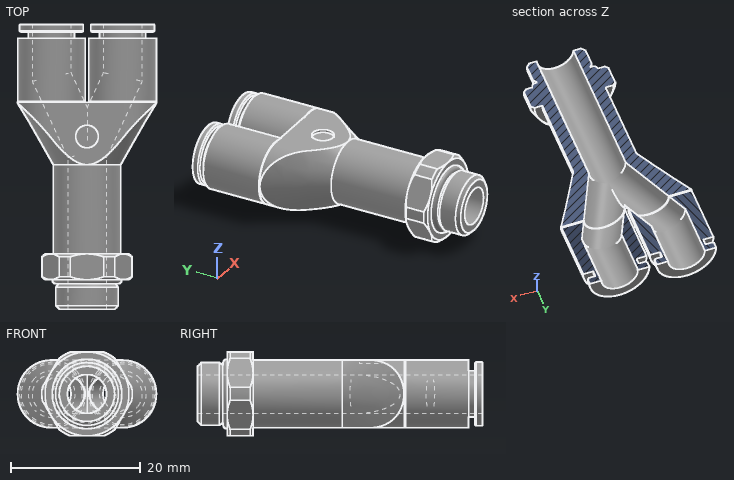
import cadquery as cq
import math


branch_spacing = 11.0
branch_offset = branch_spacing / 2
barrel_radius = 5.25
bore_radius = 3.0

thread_top = 3.4
collar_bottom = 3.95
hex_bottom = 4.6
hex_top = 8.6
cone_start = 22.4
housing_end = 32.05
barrel_start = 32.15
barrel_end = 41.95
flange_bottom = 42.85
fitting_length = 44.09

thread_radius = 4.864
thread_chamfer = 0.6
undercut_radius = 4.45
collar_radius = 5.4
collar_fillet = 0.6

hex_across_flats = 13.0
hex_corner_radius = 7.0
hex_flat_radius = hex_across_flats / 2
hex_chamfer_height = 0.45
hex_turn = 30

shoulder_half_angle = math.radians(30)

badge_radius = 1.75
badge_depth = 0.5
badge_center = 26.75

neck_radius = 3.6
flange_radius = 4.95
flange_chamfer = 0.25
flange_edge_fillet = 0.15

passage_angle = math.radians(25)
passage_web_half_width = 0.35
passage_at_housing_end = passage_web_half_width + bore_radius / math.cos(passage_angle)
fork_y = housing_end - passage_at_housing_end / math.tan(passage_angle)
passage_bend_y = fork_y + branch_offset / math.tan(passage_angle)


def along_y(x, start, end, radius):
    """Cylinder parallel to Y between two stations."""
    return cq.Workplane("XZ", origin=(x, start, 0)).circle(radius).extrude(start - end)


def turned(points):
    """Solid of revolution about Y from (radius, y) points, closed along the axis."""
    profile = [(0, points[0][1])] + points + [(0, points[-1][1])]
    return cq.Workplane("XY").polyline(profile).close().revolve(360, (0, 0), (0, 1))


def passage(side):
    """Bore from the stud face through the fork to one port, with mitred bends."""
    port_x = side * branch_offset
    path = cq.Workplane("XY").polyline([
        (0, 0),
        (0, fork_y),
        (port_x, passage_bend_y),
        (port_x, fitting_length),
    ])
    return cq.Workplane("XZ").circle(bore_radius).sweep(path, transition="right")


def stud():
    """Thread blank, undercut and rounded sealing collar."""
    blank = turned([
        (thread_radius - thread_chamfer, 0),
        (thread_radius, thread_chamfer),
        (thread_radius, thread_top),
        (undercut_radius, collar_bottom),
    ])
    collar = along_y(0, collar_bottom, hex_bottom, collar_radius)
    return blank.union(collar.faces("<Y").edges().fillet(collar_fillet))


def hexagon():
    """Wrench hexagon with flats facing Z, its corners turned down and chamfered."""
    prism = (
        cq.Workplane("XZ", origin=(0, hex_bottom, 0))
        .transformed(rotate=(0, 0, hex_turn))
        .polygon(6, hex_across_flats, circumscribed=True)
        .extrude(hex_bottom - hex_top)
    )
    envelope = turned([
        (hex_flat_radius, hex_bottom),
        (hex_corner_radius, hex_bottom + hex_chamfer_height),
        (hex_corner_radius, hex_top - hex_chamfer_height),
        (hex_flat_radius, hex_top),
    ])
    return prism.intersect(envelope)


def shoulder():
    """Stadium-shaped block that a cone trims down to the stem."""
    block = (
        cq.Workplane("XZ", origin=(0, cone_start, 0))
        .slot2D(branch_spacing + 2 * barrel_radius, 2 * barrel_radius)
        .extrude(cone_start - housing_end)
    )
    cone_growth = (housing_end - cone_start) * math.tan(shoulder_half_angle)
    cone = turned([
        (barrel_radius, cone_start),
        (barrel_radius + cone_growth, housing_end),
    ])
    return block.intersect(cone)


def make_housing():
    stem = along_y(0, hex_top, cone_start, barrel_radius)
    body = stud().union(hexagon()).union(stem).union(shoulder())
    badge = (
        cq.Workplane("XY", origin=(0, badge_center, barrel_radius - badge_depth))
        .circle(badge_radius)
        .extrude(badge_depth)
    )
    body = body.cut(badge)
    for side in (-1, 1):
        body = body.cut(passage(side))
    return body


def make_port(side):
    """Port barrel with the neck and flange of its release sleeve."""
    sleeve = turned([
        (barrel_radius, barrel_start),
        (barrel_radius, barrel_end),
        (neck_radius, barrel_end),
        (neck_radius, flange_bottom),
        (flange_radius - flange_chamfer, flange_bottom),
        (flange_radius, flange_bottom + flange_chamfer),
        (flange_radius, fitting_length),
    ])
    sleeve = sleeve.faces(">Y").edges().fillet(flange_edge_fillet)
    port = sleeve.translate((side * branch_offset, 0, 0))
    return port.cut(passage(side))


housing = make_housing()
ports = [make_port(side) for side in (-1, 1)]

result = cq.Compound.makeCompound([housing.val(), *[port.val() for port in ports]])